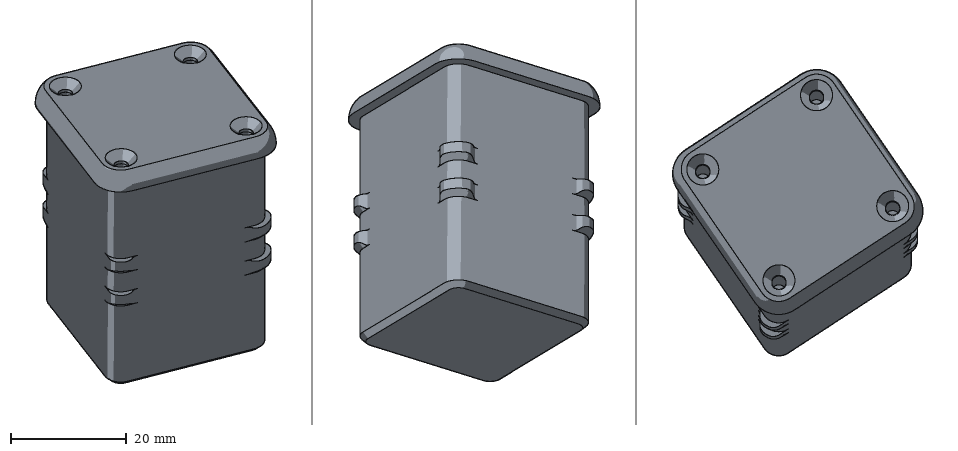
import cadquery as cq
import math

TOTAL_HEIGHT = 46.0

PLUG_WIDTH = 30.0
PLUG_CORNER_RADIUS = 3.0
PLUG_FOOT_CHAMFER = 1.0

CAP_WIDTH = 34.0
CAP_HEIGHT = 3.6
CAP_EDGE_RADIUS = 5.0
CAP_ROOF_THICKNESS = 2.1

HOLE_DIAMETER = 2.5
COUNTERSINK_DIAMETER = 5.5
COUNTERSINK_ANGLE = 90.0
HOLE_OFFSET = 11.8
PLUG_HOLE_DEPTH = 6.9

RIDGE_HEIGHT = 3.0
RIDGE_TOPS = (27.0, 20.0)
RIDGE_REACH = 15.95
CROWN_DIAMETER = 8.25
CROWN_OFFSET = 11.95
SHOULDER_RADIUS = 2.0
ROOT_RADIUS = 1.75
LEAD_IN_ANGLE = 45.0

PLUG_HALF = PLUG_WIDTH / 2
PLUG_HEIGHT = TOTAL_HEIGHT - CAP_ROOF_THICKNESS
CAP_BOTTOM = TOTAL_HEIGHT - CAP_HEIGHT
CROWN_RADIUS = CROWN_DIAMETER / 2

CROWN_CENTER = (CROWN_OFFSET, CROWN_OFFSET)
CROWN_TO_SHOULDER = CROWN_RADIUS - SHOULDER_RADIUS
SHOULDER_X = RIDGE_REACH - SHOULDER_RADIUS
SHOULDER_Y = CROWN_OFFSET + math.sqrt(CROWN_TO_SHOULDER**2 - (SHOULDER_X - CROWN_OFFSET) ** 2)
SHOULDER_CENTER = (SHOULDER_X, SHOULDER_Y)
ROOT_X = PLUG_HALF + ROOT_RADIUS
ROOT_Y = SHOULDER_Y - math.sqrt((SHOULDER_RADIUS + ROOT_RADIUS) ** 2 - (ROOT_X - SHOULDER_X) ** 2)
ROOT_CENTER = (ROOT_X, ROOT_Y)


def toward(start, end, distance):
    """Point at a distance from start, on the line through end."""
    length = math.dist(start, end)
    return tuple(a + (b - a) * distance / length for a, b in zip(start, end))


def swapped(point):
    """Mirror image of a point in the diagonal X = Y."""
    return (point[1], point[0])


def arc_middle(center, start, end, radius):
    """Middle point of the shorter arc from start to end."""
    chord_middle = ((start[0] + end[0]) / 2, (start[1] + end[1]) / 2)
    return toward(center, chord_middle, radius)


ROOT_START = (PLUG_HALF, ROOT_Y)
ROOT_END = toward(ROOT_CENTER, SHOULDER_CENTER, ROOT_RADIUS)
ROOT_MIDDLE = arc_middle(ROOT_CENTER, ROOT_START, ROOT_END, ROOT_RADIUS)
CROWN_START = toward(CROWN_CENTER, SHOULDER_CENTER, CROWN_RADIUS)
SHOULDER_MIDDLE = arc_middle(SHOULDER_CENTER, ROOT_END, CROWN_START, SHOULDER_RADIUS)


def rounded_post(width, corner_radius, height, bottom):
    """Square post with rounded upright edges, centred on the Z axis."""
    post = cq.Workplane("XY").workplane(offset=bottom).rect(width, width).extrude(height)
    return post.edges("|Z").fillet(corner_radius)


def screw_points(height):
    """The four screw positions in the plane at the given height."""
    spacing = 2 * HOLE_OFFSET
    plane = cq.Workplane("XY").workplane(offset=height)
    return plane.rect(spacing, spacing, forConstruction=True).vertices()


def ridge_outline_start(bottom):
    """Ridge outline from inside the plug, along the X face and up to the start of the crown."""
    return (
        cq.Workplane("XY").workplane(offset=bottom)
        .moveTo(ROOT_Y, ROOT_Y)
        .lineTo(*ROOT_START)
        .threePointArc(ROOT_MIDDLE, ROOT_END)
        .threePointArc(SHOULDER_MIDDLE, CROWN_START)
    )


def full_ridge(bottom):
    """Ridge at the (+X, +Y) corner that bulges past both faces."""
    crown_end = swapped(CROWN_START)
    crown_middle = arc_middle(CROWN_CENTER, CROWN_START, crown_end, CROWN_RADIUS)
    return (
        ridge_outline_start(bottom)
        .threePointArc(crown_middle, crown_end)
        .threePointArc(swapped(SHOULDER_MIDDLE), swapped(ROOT_END))
        .threePointArc(swapped(ROOT_MIDDLE), swapped(ROOT_START))
        .close()
        .extrude(RIDGE_HEIGHT)
    )


def flush_ridge(bottom):
    """Ridge at the (+X, +Y) corner that bulges past the X face and blends flush into the Y face."""
    blend_y = PLUG_HALF - SHOULDER_RADIUS
    blend_x = CROWN_OFFSET + math.sqrt(CROWN_TO_SHOULDER**2 - (blend_y - CROWN_OFFSET) ** 2)
    blend_center = (blend_x, blend_y)
    blend_start = toward(CROWN_CENTER, blend_center, CROWN_RADIUS)
    blend_end = (blend_x, PLUG_HALF)
    crown_middle = arc_middle(CROWN_CENTER, CROWN_START, blend_start, CROWN_RADIUS)
    blend_middle = arc_middle(blend_center, blend_start, blend_end, SHOULDER_RADIUS)
    return (
        ridge_outline_start(bottom)
        .threePointArc(crown_middle, blend_start)
        .threePointArc(blend_middle, blend_end)
        .lineTo(ROOT_Y, PLUG_HALF)
        .close()
        .extrude(RIDGE_HEIGHT)
    )


def ridge_level(top):
    """The four corner ridges of one level: full at the back, flush with the -Y face at the front."""
    bottom = top - RIDGE_HEIGHT
    right_side = full_ridge(bottom).union(flush_ridge(bottom).mirror("XZ"))
    ridges = right_side.union(right_side.mirror("YZ"))

    lead_in = (
        cq.Workplane("XY").workplane(offset=bottom)
        .sketch()
        .rect(PLUG_WIDTH, PLUG_WIDTH)
        .vertices()
        .fillet(PLUG_CORNER_RADIUS)
        .finalize()
        .extrude(RIDGE_HEIGHT, taper=-LEAD_IN_ANGLE)
    )
    return ridges.intersect(lead_in)


def make_plug():
    post = rounded_post(PLUG_WIDTH, PLUG_CORNER_RADIUS, PLUG_HEIGHT, bottom=0)
    body = post.faces("<Z").chamfer(PLUG_FOOT_CHAMFER)
    for top in RIDGE_TOPS:
        body = body.union(ridge_level(top))
    screw_holes = screw_points(PLUG_HEIGHT).circle(HOLE_DIAMETER / 2).extrude(-PLUG_HOLE_DEPTH)
    return body.cut(screw_holes)


def make_cap():
    block_height = 3 * CAP_EDGE_RADIUS
    block_bottom = CAP_BOTTOM + CAP_EDGE_RADIUS - block_height
    rounded_block = (
        cq.Workplane("XY").workplane(offset=block_bottom)
        .rect(CAP_WIDTH, CAP_WIDTH)
        .extrude(block_height)
        .edges()
        .fillet(CAP_EDGE_RADIUS)
    )

    slab = cq.Workplane("XY").workplane(offset=CAP_BOTTOM).rect(CAP_WIDTH, CAP_WIDTH).extrude(CAP_HEIGHT)
    lid = rounded_block.intersect(slab)

    socket_depth = CAP_HEIGHT - CAP_ROOF_THICKNESS
    lid = lid.cut(rounded_post(PLUG_WIDTH, PLUG_CORNER_RADIUS, socket_depth, CAP_BOTTOM))

    screw_holes = screw_points(TOTAL_HEIGHT).circle(HOLE_DIAMETER / 2).extrude(-CAP_ROOF_THICKNESS)
    slope = math.tan(math.radians(COUNTERSINK_ANGLE / 2))
    countersink_depth = (COUNTERSINK_DIAMETER - HOLE_DIAMETER) / 2 / slope
    countersinks = (
        screw_points(TOTAL_HEIGHT)
        .circle(COUNTERSINK_DIAMETER / 2)
        .extrude(-countersink_depth, taper=COUNTERSINK_ANGLE / 2)
    )
    return lid.cut(screw_holes).cut(countersinks)


plug = make_plug()
cap = make_cap()

result = cq.Compound.makeCompound([plug.solids().val(), cap.solids().val()])